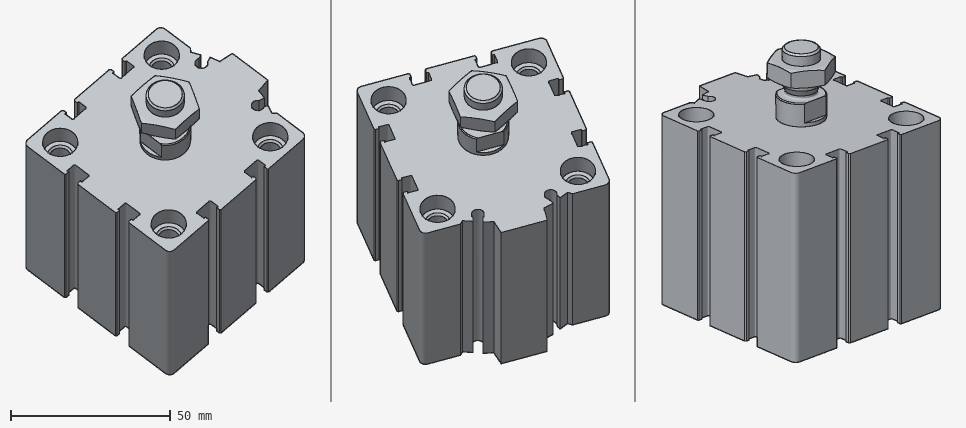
import cadquery as cq
import math

total_height = 89.0
housing_height = 65.1
width = 63.0
half_width = width / 2
corner_radius = 2.0

rail_top = (7.65, 39.0)
rail_base = (8.4, 34.0)
shoulder_tip = (11.75, 33.1)
lip_tip = (14.5, 31.8)
valley = (17.4, 30.4)
valley_outer_x = 18.6

keyhole_x = 12.1
keyhole_y = 29.55
keyhole_diameter = 4.0
keyhole_mouth_width = 3.0
keyhole_mouth_length = 5.3
keyhole_tilt = 18.0

slot_offset = 10.95
slot_depth = 5.0
slot_lip_thickness = 1.6
slot_throat_width = 5.1
slot_mouth_chamfer = 0.4
slot_inner_width = 6.4
slot_corner_radius = 0.45

hole_spacing = 46.6
hole_diameter = 6.7
counterbore_diameter = 11.0
counterbore_depth = 6.85
countersink_diameter = 8.0

shank_diameter = 16.0
shank_top_z = 73.1
shank_chamfer = 0.4
flat_bottom_z = 66.4
flat_distance = 13.2
neck_diameter = 10.2
neck_fillet = 0.6
thread_diameter = 12.0
thread_bottom_z = 76.45
thread_relief_height = 2.05
thread_end_diameter = 10.7

nut_bottom_z = 79.0
nut_height = 6.0
nut_across_flats = 19.05
nut_face_diameter = 18.7
nut_chamfer_angle = 15.0


def profile_block():
    """Square block with the rail outline on its +Y side."""
    right_side = [
        rail_top,
        rail_base,
        shoulder_tip,
        lip_tip,
        valley,
        (valley_outer_x, half_width),
        (half_width, half_width),
        (half_width, -half_width),
    ]
    left_side = [(-x, y) for x, y in reversed(right_side)]
    block = cq.Workplane("XY").polyline(right_side + left_side).close().extrude(housing_height)
    corners = block.edges("|Z and (<X or >X)")
    return corners.fillet(corner_radius)


def t_slot():
    """T-slot cutter for the +X side, centred on the X axis."""
    inner_depth = slot_depth - slot_lip_thickness
    inner_x = half_width - slot_lip_thickness - inner_depth / 2
    inner = cq.Workplane("XY").center(inner_x, 0).rect(inner_depth, slot_inner_width)
    inner = inner.extrude(housing_height).edges("|Z and <X").fillet(slot_corner_radius)
    throat_half_width = slot_throat_width / 2
    mouth_half_width = throat_half_width + slot_mouth_chamfer
    throat_section = [
        (half_width - slot_depth, throat_half_width),
        (half_width - slot_mouth_chamfer, throat_half_width),
        (half_width, mouth_half_width),
        (half_width, -mouth_half_width),
        (half_width - slot_mouth_chamfer, -throat_half_width),
        (half_width - slot_depth, -throat_half_width),
    ]
    throat = cq.Workplane("XY").polyline(throat_section).close().extrude(housing_height)
    return inner.union(throat)


def keyhole_groove():
    """Keyhole cutter for the +X flank of the rail, its mouth tilted away from the rail."""
    bore = cq.Workplane("XY").circle(keyhole_diameter / 2).extrude(housing_height)
    mouth = cq.Workplane("XY").center(0, keyhole_mouth_length / 2)
    mouth = mouth.rect(keyhole_mouth_width, keyhole_mouth_length).extrude(housing_height)
    keyhole = bore.union(mouth).rotate((0, 0, 0), (0, 0, 1), -keyhole_tilt)
    return keyhole.translate((keyhole_x, keyhole_y, 0))


def mounting_hole():
    """Through hole with a 90 degree countersink under a counterbore in the top face."""
    hole_radius = hole_diameter / 2
    sink_radius = countersink_diameter / 2
    bore_radius = counterbore_diameter / 2
    floor_z = housing_height - counterbore_depth
    sink_bottom_z = floor_z - (sink_radius - hole_radius)
    section = [
        (0, 0),
        (hole_radius, 0),
        (hole_radius, sink_bottom_z),
        (sink_radius, floor_z),
        (bore_radius, floor_z),
        (bore_radius, housing_height),
        (0, housing_height),
    ]
    return cq.Workplane("XZ").polyline(section).close().revolve(360, (0, 0, 0), (0, 1, 0))


def make_housing():
    housing = profile_block()
    for side_angle in (0, 180, 270):
        for offset in (-slot_offset, slot_offset):
            slot = t_slot().translate((0, offset, 0))
            housing = housing.cut(slot.rotate((0, 0, 0), (0, 0, 1), side_angle))

    right_keyhole = keyhole_groove()
    housing = housing.cut(right_keyhole).cut(right_keyhole.mirror("YZ"))

    for x in (-hole_spacing / 2, hole_spacing / 2):
        for y in (-hole_spacing / 2, hole_spacing / 2):
            housing = housing.cut(mounting_hole().translate((x, y, 0)))
    return housing


def make_rod():
    shank_radius = shank_diameter / 2
    neck_radius = neck_diameter / 2
    thread_radius = thread_diameter / 2
    thread_chamfer = (thread_diameter - thread_end_diameter) / 2
    fillet_middle = (
        neck_radius + neck_fillet * (1 - math.sqrt(0.5)),
        shank_top_z + neck_fillet * (1 - math.sqrt(0.5)),
    )
    rod = (
        cq.Workplane("XZ")
        .moveTo(0, housing_height)
        .lineTo(shank_radius, housing_height)
        .lineTo(shank_radius, shank_top_z - shank_chamfer)
        .lineTo(shank_radius - shank_chamfer, shank_top_z)
        .lineTo(neck_radius + neck_fillet, shank_top_z)
        .threePointArc(fillet_middle, (neck_radius, shank_top_z + neck_fillet))
        .lineTo(neck_radius, thread_bottom_z - thread_relief_height)
        .lineTo(thread_radius, thread_bottom_z)
        .lineTo(thread_radius, total_height - thread_chamfer)
        .lineTo(thread_radius - thread_chamfer, total_height)
        .lineTo(0, total_height)
        .close()
        .revolve(360, (0, 0, 0), (0, 1, 0))
    )
    flat_height = shank_top_z - flat_bottom_z
    flat_cut_depth = shank_radius - flat_distance / 2
    flat_cut_y = flat_distance / 2 + flat_cut_depth / 2
    flats = (
        cq.Workplane("XY", origin=(0, 0, flat_bottom_z))
        .pushPoints([(0, -flat_cut_y), (0, flat_cut_y)])
        .rect(shank_diameter, flat_cut_depth)
        .extrude(flat_height)
    )
    return rod.cut(flats)


def make_nut():
    hexagon_radius = nut_across_flats / math.sqrt(3)
    face_radius = nut_face_diameter / 2
    chamfer_height = (hexagon_radius - face_radius) * math.tan(math.radians(nut_chamfer_angle))
    hexagon = (
        cq.Workplane("XY")
        .polygon(6, 2 * hexagon_radius)
        .circle(thread_diameter / 2)
        .extrude(nut_height)
        .rotate((0, 0, 0), (0, 0, 1), 90)
    )
    chamfered_disc = (
        cq.Workplane("XZ")
        .moveTo(0, 0)
        .lineTo(face_radius, 0)
        .lineTo(hexagon_radius, chamfer_height)
        .lineTo(hexagon_radius, nut_height - chamfer_height)
        .lineTo(face_radius, nut_height)
        .lineTo(0, nut_height)
        .close()
        .revolve(360, (0, 0, 0), (0, 1, 0))
    )
    return hexagon.intersect(chamfered_disc).translate((0, 0, nut_bottom_z))


housing = make_housing()
rod = make_rod()
nut = make_nut()

result = cq.Compound.makeCompound([housing.solids().val(), rod.solids().val(), nut.solids().val()])